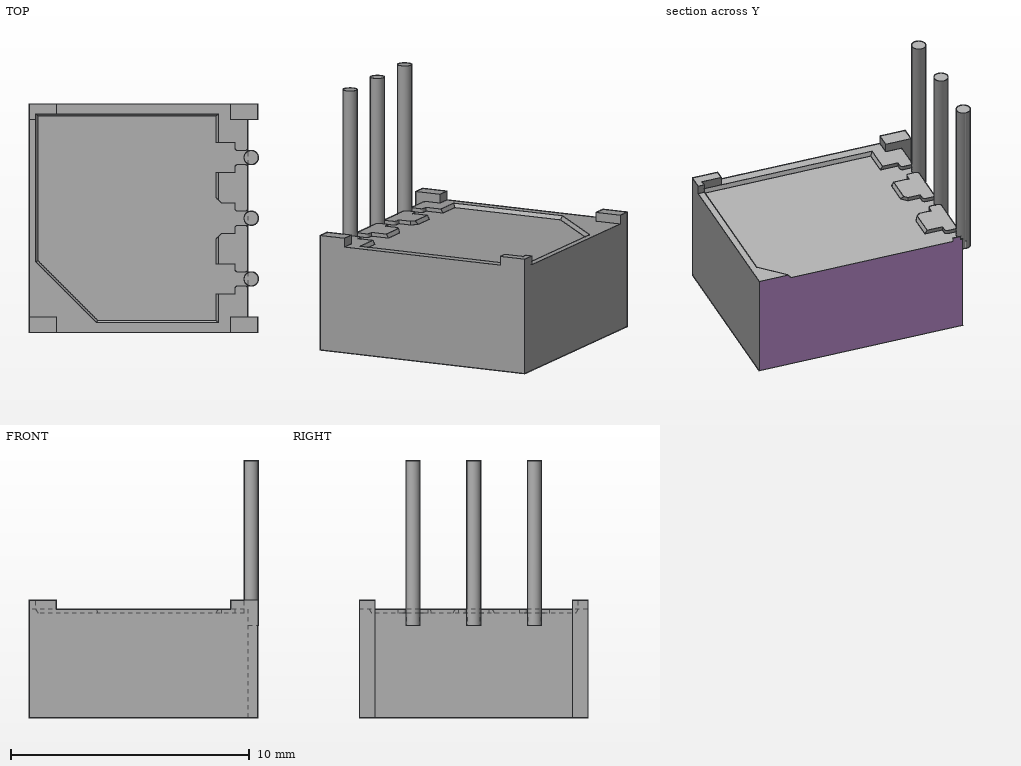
import cadquery as cq
import math

case_size = 9.59
case_height = 4.93
rim_z = 4.56

tab_length = 1.14
tab_width = 0.67

side_recess_depth = 0.42
side_face_x = case_size - side_recess_depth

tray_depth = 0.16
tray_wall_run = 0.1
tray_x_min = 0.28
tray_x_max = 7.93
tray_y_margin = 0.42
tray_corner_cut = 2.55
tray_floor_x_max = tray_x_max - tray_wall_run
tray_floor_z = rim_z - tray_depth

pin_diameter = 0.6
pin_pitch = 2.54
pin_bottom_z = 3.88
pin_top_z = 10.77
pin_overhang = 0.02
pin_x = case_size + pin_overhang - pin_diameter / 2
channel_width = 1.26
channel_end_x = 8.62
channel_mouth_cut = 0.24
throat_width = 0.59
throat_corner_radius = 0.12

middle_y = case_size / 2
pin_positions_y = [middle_y + row * pin_pitch for row in (-1, 0, 1)]


def box_between(x_range, y_range, z_range):
    """Axis-aligned box given by its low and high coordinate on each axis."""
    lengths = [high - low for low, high in (x_range, y_range, z_range)]
    corner = (x_range[0], y_range[0], z_range[0])
    return cq.Workplane("XY").box(*lengths, centered=False).translate(corner)


def make_case():
    """Block with four corner tabs and the recess in its +X side."""
    case = box_between((0, case_size), (0, case_size), (0, case_height))
    inner_low = tab_width
    inner_high = case_size - tab_width
    above_rim = (rim_z, case_height)
    gap_along_x = box_between((tab_length, case_size - tab_length), (0, case_size), above_rim)
    gap_along_y = box_between((0, case_size), (inner_low, inner_high), above_rim)
    side_recess = box_between((side_face_x, case_size), (inner_low, inner_high), (0, case_height))
    return case.cut(gap_along_x).cut(gap_along_y).cut(side_recess)


def make_tray():
    """Tray cutter: walls slope in below the rim and rise straight through the tabs above it."""
    y_min = tray_y_margin
    y_max = case_size - tray_y_margin
    rim_outline = [
        (tray_x_min + tray_corner_cut, y_min),
        (tray_x_max, y_min),
        (tray_x_max, y_max),
        (tray_x_min, y_max),
        (tray_x_min, y_min + tray_corner_cut),
    ]
    rim_plane = cq.Workplane("XY").workplane(offset=rim_z)
    wall_slope = math.degrees(math.atan2(tray_wall_run, tray_depth))
    below_rim = rim_plane.polyline(rim_outline).close().extrude(-tray_depth, taper=wall_slope)
    above_rim = rim_plane.polyline(rim_outline).close().extrude(case_height - rim_z)
    return below_rim.union(above_rim)


def make_channel(pin_y):
    """Straight-walled channel cutter from the tray, narrowing to a throat at the side face."""
    cut_depth = (tray_floor_z, rim_z)
    half_width = channel_width / 2
    half_throat = throat_width / 2
    wide = box_between(
        (tray_floor_x_max, channel_end_x), (pin_y - half_width, pin_y + half_width), cut_depth
    )
    throat = box_between(
        (channel_end_x, side_face_x), (pin_y - half_throat, pin_y + half_throat), cut_depth
    )
    channel = wide.union(throat)
    for side in (-1, 1):
        throat_wall_y = pin_y + side * half_throat
        for end_x, inward in ((channel_end_x, 1), (side_face_x, -1)):
            channel = channel.union(corner_round(end_x, throat_wall_y, inward, side))
    return channel


def corner_round(x, y, x_direction, y_direction):
    """Cutter that rounds off the wall corner at (x, y); the directions point into the wall."""
    radius = throat_corner_radius
    x_far = x + x_direction * radius
    y_far = y + y_direction * radius
    arc_reach = radius * (1 - math.sqrt(0.5))
    arc_middle = (x + x_direction * arc_reach, y + y_direction * arc_reach)
    return (
        cq.Workplane("XY")
        .workplane(offset=tray_floor_z)
        .moveTo(x, y)
        .lineTo(x_far, y)
        .threePointArc(arc_middle, (x, y_far))
        .close()
        .extrude(tray_depth)
    )


def make_mouth_flare(pin_y):
    """Cutter that widens a channel at 45 degrees where it meets the tray."""
    half_width = channel_width / 2
    half_mouth = half_width + channel_mouth_cut
    mouth_end_x = tray_floor_x_max + channel_mouth_cut
    flare = [
        (tray_floor_x_max, pin_y - half_mouth),
        (mouth_end_x, pin_y - half_width),
        (mouth_end_x, pin_y + half_width),
        (tray_floor_x_max, pin_y + half_mouth),
    ]
    return cq.Workplane("XY").workplane(offset=tray_floor_z).polyline(flare).close().extrude(tray_depth)


def make_pin(pin_y):
    """Upright round pin, part sunk into the side face."""
    return (
        cq.Workplane("XY")
        .workplane(offset=pin_bottom_z)
        .center(pin_x, pin_y)
        .circle(pin_diameter / 2)
        .extrude(pin_top_z - pin_bottom_z)
    )


result = make_case().cut(make_tray()).cut(make_mouth_flare(middle_y))
for pin_y in pin_positions_y:
    result = result.cut(make_channel(pin_y))
for pin_y in pin_positions_y:
    result = result.union(make_pin(pin_y))